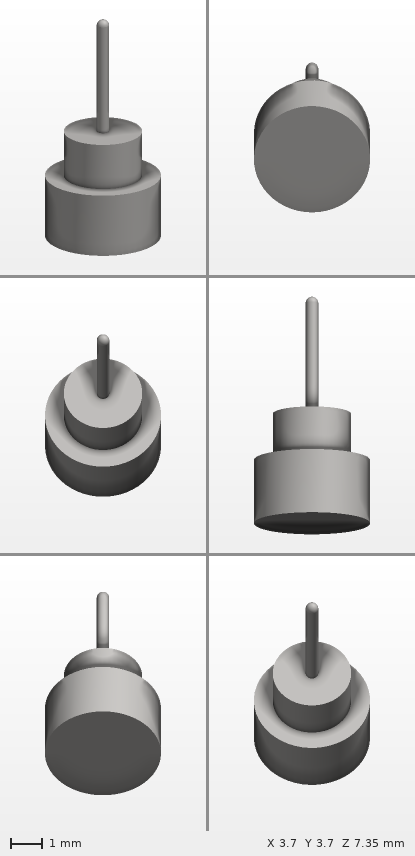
import cadquery as cq
import math

base_diameter = 3.7
base_height = 2.05
collar_diameter = 2.5
collar_height = 1.5
insulator_diameter = 1.95
pin_diameter = 0.4
pin_length = 3.8
dome_height = 0.19

base_radius = base_diameter / 2
collar_radius = collar_diameter / 2
insulator_radius = insulator_diameter / 2
pin_radius = pin_diameter / 2

collar_top = base_height + collar_height
pin_tip = collar_top + pin_length
dome_start = pin_tip - dome_height

dome_sphere_radius = (pin_radius**2 + dome_height**2) / (2 * dome_height)
dome_center = pin_tip - dome_sphere_radius
dome_half_angle = math.asin(pin_radius / dome_sphere_radius) / 2
dome_midpoint = (
    -dome_sphere_radius * math.sin(dome_half_angle),
    dome_center + dome_sphere_radius * math.cos(dome_half_angle),
)


def half_profile():
    """Half section on the -X side of the axis, from the base up to the domed pin."""
    return (
        cq.Workplane("XZ")
        .lineTo(-base_radius, 0)
        .lineTo(-base_radius, base_height)
        .lineTo(-collar_radius, base_height)
        .lineTo(-collar_radius, collar_top)
        .lineTo(-insulator_radius, collar_top)
        .lineTo(-pin_radius, collar_top)
        .lineTo(-pin_radius, dome_start)
        .threePointArc(dome_midpoint, (0, pin_tip))
        .close()
    )


axis_start = (0, 0, 0)
axis_end = (0, 1, 0)
result = half_profile().revolve(360, axis_start, axis_end, clean=False)